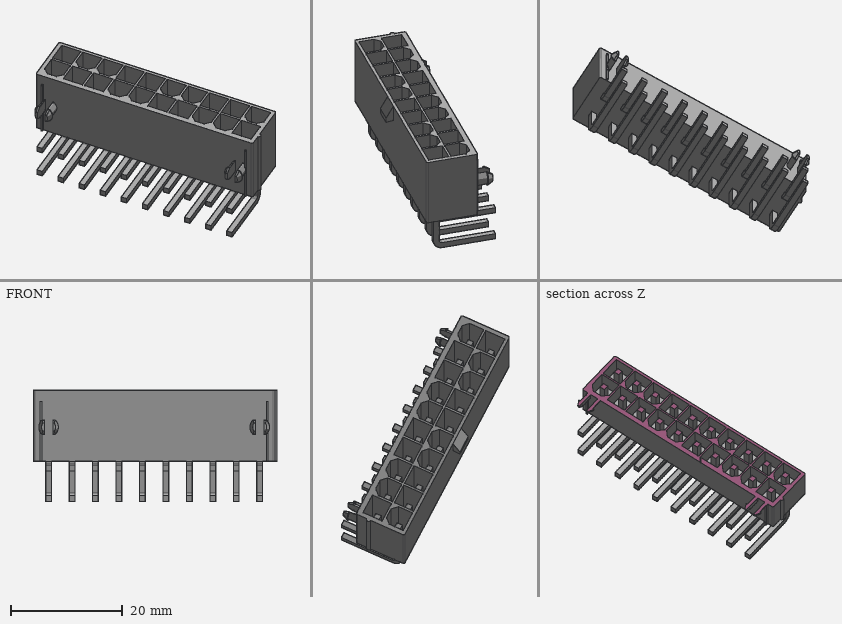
import cadquery as cq


COLUMNS = 10
PITCH = 4.2
FIRST_COLUMN_X = -(COLUMNS - 1) * PITCH / 2
LAST_COLUMN_X = -FIRST_COLUMN_X

HOUSING_LENGTH = 43.2
HOUSING_DEPTH = 9.6
HOUSING_HEIGHT = 12.75
EDGE_RADIUS = 0.3
FRONT_ROW_Y = 2.9
REAR_ROW_Y = FRONT_ROW_Y + PITCH

CAVITY_SIZE = 3.8
CAVITY_DEPTH = 10.0
CAVITY_CHAMFER = 1.0
CAVITY_FLOOR_Z = HOUSING_HEIGHT - CAVITY_DEPTH

PIN_SIZE = 1.07
PIN_TIP_Z = HOUSING_HEIGHT - 4.0
TAIL_END_Y = -4.0
REAR_TAIL_BOTTOM_Z = -7.18
TAIL_ROW_PITCH = 5.5
FRONT_TAIL_BOTTOM_Z = REAR_TAIL_BOTTOM_Z + TAIL_ROW_PITCH
REAR_BEND_RADIUS = 0.55
FRONT_BEND_RADIUS = 0.25

LATCH_WIDTH = 3.4
LATCH_REACH = 1.4
LATCH_RAMP_DROP = 2.25
LATCH_ROOT_DROP = 3.0
LATCH_HOOK_DROP = 3.15

RIDGE_RADIUS = 0.4
RIDGE_Y = 2.5

RIB_WIDTH = 0.3
RIB_REACH = 0.4
RIB_TOP_Z = HOUSING_HEIGHT - 2.0
RIB_OFFSET = 1.36

PEG_Z = 6.15
PEG_SLOT = 1.5
PEG_SHAFT_RADIUS = 1.5
PEG_SHAFT_LENGTH = 2.2
PEG_HEAD_RADIUS = 1.75
PEG_HEAD_LAND = 0.12
PEG_TIP_RADIUS = 1.25
PEG_LENGTH = 3.3
PEG_HALF_HEIGHT = 1.3
PEG_TIP_HALF_HEIGHT = 0.72

OVERLAP = 0.2


def column_x(column):
    return FIRST_COLUMN_X + column * PITCH


def make_housing():
    body = cq.Workplane("XY").box(
        HOUSING_LENGTH, HOUSING_DEPTH, HOUSING_HEIGHT, centered=(True, False, False)
    )
    return body.edges("|Z").fillet(EDGE_RADIUS)


def make_cavity(x, y, chamfered):
    cavity = cq.Workplane("XY").box(
        CAVITY_SIZE, CAVITY_SIZE, CAVITY_DEPTH, centered=(True, True, False)
    )
    if chamfered:
        cavity = cavity.faces("<Y").edges("|Z").chamfer(CAVITY_CHAMFER)
    return cavity.translate((x, y, CAVITY_FLOOR_Z))


def make_pin(x, y, tail_bottom_z, bend_radius):
    """Square pin, straight through the housing floor, then bent toward -Y."""
    rear_y = y + PIN_SIZE / 2
    front_y = y - PIN_SIZE / 2
    tail_top_z = tail_bottom_z + PIN_SIZE
    outer_radius = bend_radius + PIN_SIZE
    profile = (
        cq.Workplane("YZ")
        .moveTo(rear_y, PIN_TIP_Z)
        .lineTo(rear_y, tail_bottom_z + outer_radius)
        .radiusArc((rear_y - outer_radius, tail_bottom_z), outer_radius)
        .lineTo(TAIL_END_Y, tail_bottom_z)
        .lineTo(TAIL_END_Y, tail_top_z)
        .lineTo(front_y - bend_radius, tail_top_z)
        .radiusArc((front_y, tail_top_z + bend_radius), -bend_radius)
        .lineTo(front_y, PIN_TIP_Z)
        .close()
    )
    return profile.extrude(PIN_SIZE / 2, both=True).translate((x, 0, 0))


def make_latch():
    root_y = HOUSING_DEPTH - OVERLAP
    tip_y = HOUSING_DEPTH + LATCH_REACH
    outline = [
        (root_y, HOUSING_HEIGHT),
        (HOUSING_DEPTH, HOUSING_HEIGHT),
        (tip_y, HOUSING_HEIGHT - LATCH_RAMP_DROP),
        (tip_y, HOUSING_HEIGHT - LATCH_HOOK_DROP),
        (HOUSING_DEPTH, HOUSING_HEIGHT - LATCH_ROOT_DROP),
        (root_y, HOUSING_HEIGHT - LATCH_ROOT_DROP),
    ]
    return cq.Workplane("YZ").polyline(outline).close().extrude(LATCH_WIDTH / 2, both=True)


def make_ridge():
    ridge = cq.Workplane("XY").circle(RIDGE_RADIUS).extrude(HOUSING_HEIGHT)
    return ridge.translate((HOUSING_LENGTH / 2, RIDGE_Y, 0))


def make_rib(x):
    return (
        cq.Workplane("XY")
        .box(RIB_WIDTH, RIB_REACH + OVERLAP, RIB_TOP_Z, centered=(True, False, False))
        .translate((x, -RIB_REACH, 0))
    )


def make_peg(x):
    """Split peg along -Y: round shaft, barbed conical head, flattened above and below."""
    head_end = PEG_SHAFT_LENGTH + PEG_HEAD_LAND
    half_section = [
        (0, OVERLAP),
        (PEG_SHAFT_RADIUS, OVERLAP),
        (PEG_SHAFT_RADIUS, -PEG_SHAFT_LENGTH),
        (PEG_HEAD_RADIUS, -PEG_SHAFT_LENGTH),
        (PEG_HEAD_RADIUS, -head_end),
        (PEG_TIP_RADIUS, -PEG_LENGTH),
        (0, -PEG_LENGTH),
    ]
    turned = cq.Workplane("XY").polyline(half_section).close().revolve(360, (0, 0), (0, 1))
    side_outline = [
        (OVERLAP, PEG_HALF_HEIGHT),
        (-head_end, PEG_HALF_HEIGHT),
        (-PEG_LENGTH, PEG_TIP_HALF_HEIGHT),
        (-PEG_LENGTH, -PEG_TIP_HALF_HEIGHT),
        (-head_end, -PEG_HALF_HEIGHT),
        (OVERLAP, -PEG_HALF_HEIGHT),
    ]
    flattened = (
        cq.Workplane("YZ").polyline(side_outline).close().extrude(PEG_HEAD_RADIUS, both=True)
    )
    slot = cq.Workplane("XY").box(PEG_SLOT, 2 * PEG_LENGTH, 2 * PEG_HEAD_RADIUS)
    return turned.intersect(flattened).cut(slot).translate((x, 0, PEG_Z))


result = make_housing()

for column in range(COLUMNS):
    rear_is_chamfered = (column + 1) // 2 % 2 == 1
    result = result.cut(make_cavity(column_x(column), REAR_ROW_Y, rear_is_chamfered))
    result = result.cut(make_cavity(column_x(column), FRONT_ROW_Y, not rear_is_chamfered))

for column in range(COLUMNS):
    x = column_x(column)
    result = result.union(make_pin(x, REAR_ROW_Y, REAR_TAIL_BOTTOM_Z, REAR_BEND_RADIUS))
    result = result.union(make_pin(x, FRONT_ROW_Y, FRONT_TAIL_BOTTOM_Z, FRONT_BEND_RADIUS))

result = result.union(make_latch())
result = result.union(make_ridge())
for end_x, outward in ((FIRST_COLUMN_X, -1), (LAST_COLUMN_X, 1)):
    result = result.union(make_rib(end_x + outward * RIB_OFFSET))
    result = result.union(make_peg(end_x))